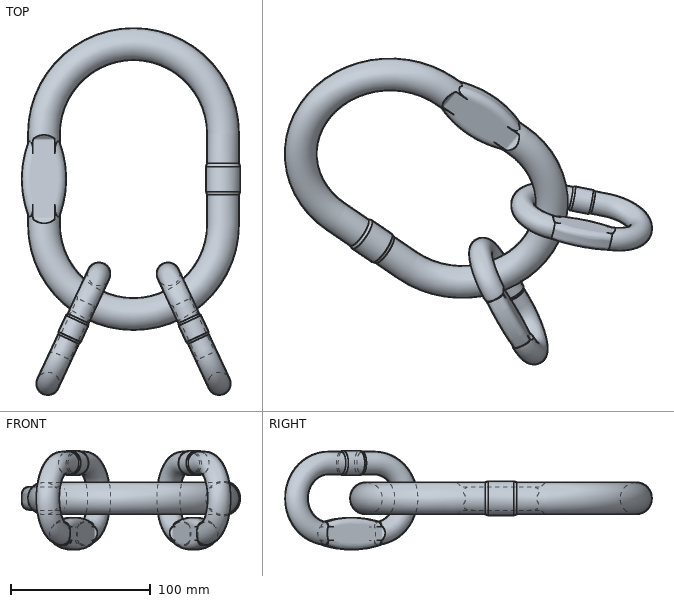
import cadquery as cq
import math

MASTER = dict(
    wire=23.0,
    inner_width=105.0,
    inner_length=170.0,
    flat_thickness=16.8,
    flat_half_length=28.5,
    grip_half_width=15.94,
    grip_end_half_width=10.6,
    grip_half_length=27.7,
)

SUB = dict(
    wire=16.5,
    inner_width=34.0,
    inner_length=70.0,
    flat_thickness=13.4,
    flat_half_length=21.3,
    grip_half_width=11.48,
    grip_end_half_width=8.4,
    grip_half_length=21.0,
)

SUB_CENTRE_X = 43.0
SUB_CENTRE_Y = -107.0
SUB_TILT = 25.0

BEAD_DIAMETER = 1.075
BEAD_LENGTH = 0.99
BEAD_LAND = 0.78

ROUNDING_PER_THICKNESS = 1 / 3
RAMP_ANGLE = 45.0
RAMP_FOOT_RADIUS_PER_WIRE = 0.09


def wire_loop(wire, straight, bend_radius):
    """Round wire bent into a stadium-shaped loop, long axis along Y."""
    half = straight / 2
    path = (
        cq.Workplane("XY")
        .moveTo(bend_radius, -half)
        .lineTo(bend_radius, half)
        .threePointArc((0, half + bend_radius), (-bend_radius, half))
        .lineTo(-bend_radius, -half)
        .threePointArc((0, -half - bend_radius), (bend_radius, -half))
        .close()
    )
    profile = cq.Workplane("XZ", origin=(bend_radius, -half, 0)).circle(wire / 2)
    return profile.sweep(path)


def weld_bead(wire, leg_x):
    """Slightly raised collar with tapered ends, around the +X leg."""
    wire_radius = wire / 2
    bead_radius = wire * BEAD_DIAMETER / 2
    half_length = wire * BEAD_LENGTH / 2
    half_land = wire * BEAD_LAND / 2
    return (
        cq.Workplane("XY")
        .moveTo(0, -half_length)
        .lineTo(wire_radius, -half_length)
        .lineTo(bead_radius, -half_land)
        .lineTo(bead_radius, half_land)
        .lineTo(wire_radius, half_length)
        .lineTo(0, half_length)
        .close()
        .revolve(360, (0, 0, 0), (0, 1, 0))
        .translate((leg_x, 0, 0))
    )


def flat_cutter(wire, leg_x, thickness, half_length):
    """Trapezoidal cutter above the leg: flat floor blending into a ramp at each end."""
    floor = thickness / 2
    top = wire
    ramp_run = (top - floor) / math.tan(math.radians(RAMP_ANGLE))
    return (
        cq.Workplane("YZ", origin=(leg_x, 0, 0))
        .moveTo(-half_length, floor)
        .lineTo(half_length, floor)
        .lineTo(half_length + ramp_run, top)
        .lineTo(-half_length - ramp_run, top)
        .close()
        .extrude(wire, both=True)
        .faces("<Z")
        .edges("|X")
        .fillet(wire * RAMP_FOOT_RADIUS_PER_WIRE)
    )


def grip(leg_x, thickness, half_width, end_half_width, half_length):
    """Flattened barrel-shaped swelling on a leg, with rounded long edges."""
    return (
        cq.Workplane("XY")
        .moveTo(-end_half_width, -half_length)
        .lineTo(end_half_width, -half_length)
        .threePointArc((half_width, 0), (end_half_width, half_length))
        .lineTo(-end_half_width, half_length)
        .threePointArc((-half_width, 0), (-end_half_width, -half_length))
        .close()
        .extrude(thickness / 2, both=True)
        .edges("%CIRCLE")
        .fillet(thickness * ROUNDING_PER_THICKNESS)
        .translate((leg_x, 0, 0))
    )


def chain_link(
    wire, inner_width, inner_length, flat_thickness, flat_half_length,
    grip_half_width, grip_end_half_width, grip_half_length,
):
    """One link lying in XY: weld bead on the +X leg, flattened grip on the -X leg."""
    leg_x = (inner_width + wire) / 2
    straight = inner_length - inner_width
    cutter = flat_cutter(wire, -leg_x, flat_thickness, flat_half_length)
    swelling = grip(-leg_x, flat_thickness, grip_half_width, grip_end_half_width, grip_half_length)
    return (
        wire_loop(wire, straight, leg_x)
        .cut(cutter)
        .cut(cutter.mirror("XY"))
        .union(weld_bead(wire, leg_x))
        .union(swelling)
    )


def sub_link(side):
    """Upright sub-link with its bead on top; side is the sign of its X position."""
    return (
        chain_link(**SUB)
        .rotate((0, 0, 0), (0, 1, 0), -90)
        .rotate((0, 0, 0), (0, 0, 1), side * SUB_TILT)
        .translate((side * SUB_CENTRE_X, SUB_CENTRE_Y, 0))
    )


master_link = chain_link(**MASTER)
sub_links = [sub_link(side) for side in (-1, 1)]

result = cq.Compound.makeCompound([master_link.val(), *[link.val() for link in sub_links]])